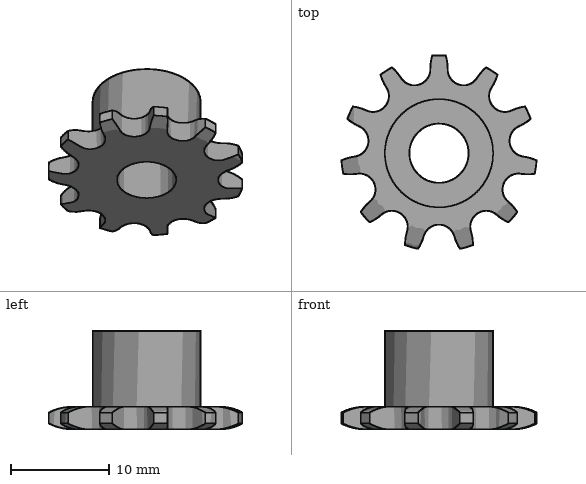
import cadquery as cq
import math

overall_height = 10.0
hub_diameter = 11.0
bore_diameter = 6.0

tooth_count = 11
plate_thickness = 2.3
overall_width = 19.85
tip_land_height = 1.11
tip_half_width = 0.7
flat_face_radius = 7.55

roller_circle_radius = 8.87
seat_radius = 1.6
seat_half_angle = 74.0

tooth_pitch = 360 / tooth_count
first_tooth_angle = 90

side_tooth_tilt = math.radians(tooth_pitch / 4)
tip_corner_reach = (
    overall_width / 2 - tip_half_width * math.sin(side_tooth_tilt)
) / math.cos(side_tooth_tilt)
tip_radius = math.hypot(tip_corner_reach, tip_half_width)
cut_radius = tip_radius + seat_radius


def make_plate_blank():
    """Disc whose two faces curve tangentially toward a narrow rim."""
    land_bottom = (plate_thickness - tip_land_height) / 2
    land_top = land_bottom + tip_land_height
    relief_length = tip_radius - flat_face_radius
    relief_radius = (relief_length**2 + land_bottom**2) / (2 * land_bottom)
    half_sweep = math.asin(relief_length / relief_radius) / 2
    mid_radius = flat_face_radius + relief_radius * math.sin(half_sweep)
    mid_drop = relief_radius * (1 - math.cos(half_sweep))
    return (
        cq.Workplane("XZ")
        .lineTo(flat_face_radius, 0)
        .threePointArc((mid_radius, mid_drop), (tip_radius, land_bottom))
        .lineTo(tip_radius, land_top)
        .threePointArc((mid_radius, plate_thickness - mid_drop), (flat_face_radius, plate_thickness))
        .lineTo(0, plate_thickness)
        .close()
        .revolve(360, (0, 0), (0, 1))
    )


def seat_point(angle):
    """Point on the seat arc, at an angle in degrees from the seat bottom; +X points outward."""
    turn = math.radians(angle)
    return (roller_circle_radius - seat_radius * math.cos(turn), seat_radius * math.sin(turn))


def make_gap_cutter():
    """Space between two teeth, centred on the +X axis."""
    tip_half_angle = math.asin(tip_half_width / tip_radius)
    corner_angle = math.radians(tooth_pitch / 2) - tip_half_angle
    corner_direction = (math.cos(corner_angle), math.sin(corner_angle))
    tip_corner = tuple(tip_radius * component for component in corner_direction)
    outer_corner = tuple(cut_radius * component for component in corner_direction)
    half_gap = (
        cq.Workplane("XY")
        .moveTo(*seat_point(0))
        .threePointArc(seat_point(seat_half_angle / 2), seat_point(seat_half_angle))
        .tangentArcPoint(tip_corner, relative=False)
        .lineTo(*outer_corner)
        .lineTo(cut_radius, 0)
        .close()
        .extrude(plate_thickness)
    )
    return half_gap.union(half_gap.mirror("XZ"))


def make_sprocket():
    sprocket = make_plate_blank()
    gap_cutter = make_gap_cutter()
    for index in range(tooth_count):
        gap_angle = first_tooth_angle + (index + 0.5) * tooth_pitch
        sprocket = sprocket.cut(gap_cutter.rotate((0, 0, 0), (0, 0, 1), gap_angle))
    hub = cq.Workplane("XY").circle(hub_diameter / 2).extrude(overall_height)
    bore = cq.Workplane("XY").circle(bore_diameter / 2).extrude(overall_height)
    return sprocket.union(hub).cut(bore)


result = make_sprocket()